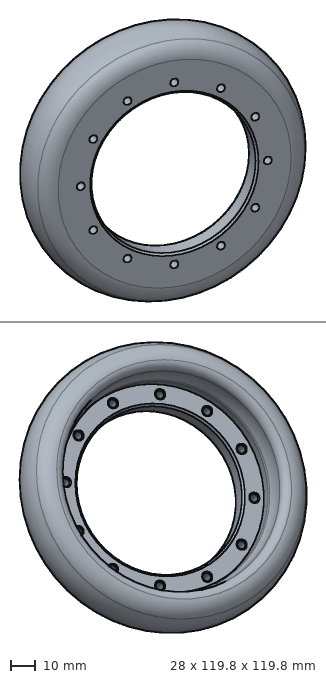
import cadquery as cq
import math


outer_radius = 59.9
half_width = 14.0
side_radius = 49.7
shoulder_round = 8.6
lip_round = 3.7

recess_radius = 88.0 / 2
bore_radius = 70.0 / 2
flange_thickness = 10.1
bore_chamfer = 1.0
seat_round = 18.5
step_round = 3.1

hole_count = 12
hole_diameter = 3.4
hole_chamfer = 0.54
hole_circle_radius = 39.9

flange_face = half_width - flange_thickness


def arc_point(center, radius, angle):
    """Point on a circle in the profile plane; angle in radians from +X."""
    return (center[0] + radius * math.cos(angle), center[1] + radius * math.sin(angle))


def mirrored(point):
    return (-point[0], point[1])


shoulder_x = half_width - shoulder_round
side_drop = outer_radius - side_radius
crown_round = (shoulder_x**2 + side_drop**2 - shoulder_round**2) / (2 * (side_drop - shoulder_round))
crown_center = (0, outer_radius - crown_round)
shoulder_center = (shoulder_x, side_radius)
shoulder_angle = math.atan2(side_radius - crown_center[1], shoulder_x)
shoulder_start = arc_point(crown_center, crown_round, shoulder_angle)
shoulder_mid = arc_point(shoulder_center, shoulder_round, shoulder_angle / 2)

lip_center = (lip_round - half_width, side_radius)
lip_mid = arc_point(lip_center, lip_round, -0.75 * math.pi)
lip_end = arc_point(lip_center, lip_round, -math.pi / 2)

seat_drop = lip_end[1] - recess_radius
seat_angle = math.acos(1 - seat_drop / (seat_round + step_round))
seat_center = (lip_end[0], lip_end[1] - seat_round)
seat_mid = arc_point(seat_center, seat_round, math.pi / 2 - seat_angle / 2)
seat_end = arc_point(seat_center, seat_round, math.pi / 2 - seat_angle)
step_x = lip_end[0] + (seat_round + step_round) * math.sin(seat_angle)
step_center = (step_x, recess_radius + step_round)
step_mid = arc_point(step_center, step_round, -math.pi / 2 - seat_angle / 2)


def turned_ring():
    profile = (
        cq.Workplane("XY")
        .moveTo(flange_face, bore_radius + bore_chamfer)
        .lineTo(flange_face + bore_chamfer, bore_radius)
        .lineTo(half_width - bore_chamfer, bore_radius)
        .lineTo(half_width, bore_radius + bore_chamfer)
        .lineTo(half_width, side_radius)
        .threePointArc(shoulder_mid, shoulder_start)
        .threePointArc((0, outer_radius), mirrored(shoulder_start))
        .threePointArc(mirrored(shoulder_mid), (-half_width, side_radius))
        .threePointArc(lip_mid, lip_end)
        .threePointArc(seat_mid, seat_end)
        .threePointArc(step_mid, (step_x, recess_radius))
        .lineTo(flange_face, recess_radius)
        .close()
    )
    return profile.revolve(360, (0, 0, 0), (1, 0, 0))


def bolt_hole_cutter():
    """Through hole along X, chamfered where it enters the recessed flange face."""
    hole_radius = hole_diameter / 2
    return (
        cq.Workplane("XY")
        .moveTo(flange_face, 0)
        .lineTo(flange_face, hole_radius + hole_chamfer)
        .lineTo(flange_face + hole_chamfer, hole_radius)
        .lineTo(half_width, hole_radius)
        .lineTo(half_width, 0)
        .close()
        .revolve(360, (0, 0, 0), (1, 0, 0))
        .translate((0, 0, hole_circle_radius))
    )


result = turned_ring()
hole_cutter = bolt_hole_cutter()
for index in range(hole_count):
    hole_angle = index * 360 / hole_count
    result = result.cut(hole_cutter.rotate((0, 0, 0), (1, 0, 0), hole_angle))